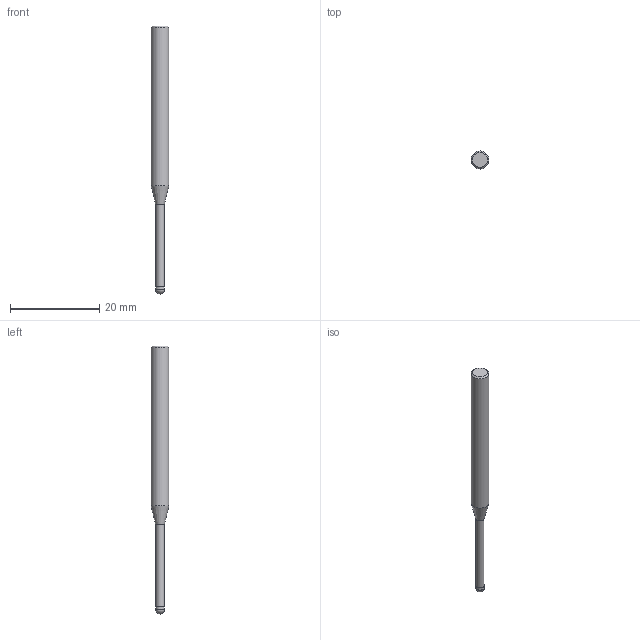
import cadquery as cq
import math

overall_length = 60.0
shank_radius = 2.0
shank_chamfer = 0.3

ball_radius = 1.0
cutter_length = 1.6
neck_radius = 0.97
neck_top = 20.0
cone_top = 24.2

section_plane = cq.Plane(origin=(0, 0, 0), xDir=(0, -1, 0), normal=(-1, 0, 0))


def revolve_about_axis(half_section):
    """Turn a closed half-section a full circle around the tool axis."""
    return half_section.revolve(360, (0, 0, 0), (0, 1, 0))


def make_cutter():
    """Hemispherical tip with a short taper back to the neck radius."""
    arc_offset = ball_radius * math.sqrt(0.5)
    half_section = (
        cq.Workplane(section_plane)
        .moveTo(0, 0)
        .threePointArc((arc_offset, ball_radius - arc_offset), (ball_radius, ball_radius))
        .lineTo(neck_radius, cutter_length)
        .lineTo(0, cutter_length)
        .close()
    )
    return revolve_about_axis(half_section)


def make_shank():
    """Slim neck, cone and clamping shank with a chamfered top rim."""
    half_section = (
        cq.Workplane(section_plane)
        .moveTo(0, cutter_length)
        .lineTo(neck_radius, cutter_length)
        .lineTo(neck_radius, neck_top)
        .lineTo(shank_radius, cone_top)
        .lineTo(shank_radius, overall_length - shank_chamfer)
        .lineTo(shank_radius - shank_chamfer, overall_length)
        .lineTo(0, overall_length)
        .close()
    )
    return revolve_about_axis(half_section)


cutter = make_cutter()
shank = make_shank()

result = cq.Compound.makeCompound([cutter.val(), shank.val()])